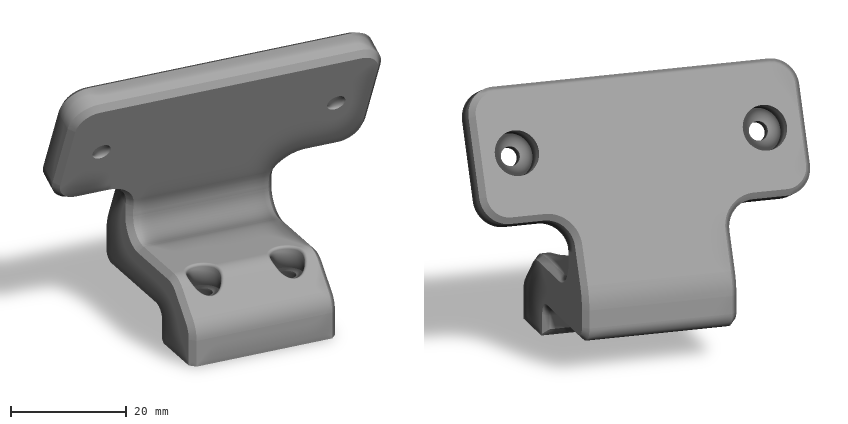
import cadquery as cq
import math

base_length = 34.5
base_width = 28.0
base_bottom = 5.5
base_top = 14.0
foot_start = 22.0
heel_thickness = 9.5
toe_slope = 7.0

arm_lean = 25
arm_length = 38.35
arm_thickness = 6

plate_width = 60
plate_height = 24
plate_radius = 5.0

edge_chamfer = 1.0
foot_chamfer = 1.5
toe_radius = 5.0
heel_radius = 3
foot_inner_radius = 1.5
outer_bend_radius = 10.0
inner_bend_radius = 6
inside_corner_radius = 4.0

bore_depth = 4.0
base_hole_x = 27
base_hole_spacing = 16.0
base_hole_diameter = 3.2
base_bore_diameter = 6
base_bore_rim_radius = 0.5
plate_hole_spacing = 45
plate_hole_diameter = 3.4
plate_bore_diameter = 8.0

lean_sin = math.sin(math.radians(arm_lean))
lean_cos = math.cos(math.radians(arm_lean))
lean_tan = lean_sin / lean_cos
plate_start = arm_length - plate_height
selection_margin = 0.05

arm_plane = cq.Plane(
    origin=(0, 0, base_top),
    xDir=(0, -1, 0),
    normal=(-lean_cos, 0, lean_sin),
)


def arm_point(along, depth):
    """X and Z of a point at a distance up the arm and a depth below its outer face."""
    return (
        along * lean_sin + depth * lean_cos,
        base_top + along * lean_cos - depth * lean_sin,
    )


def side_profile():
    """Foot, base and leaning arm, as wide as the plate, with all bends rounded."""
    inner_bend_z = base_top + (heel_thickness - arm_thickness / lean_cos) / lean_tan
    heel = (0, base_bottom)
    foot_inside = (foot_start, base_bottom)
    toe_lower = (base_length, base_top - toe_slope)
    toe_upper = (base_length - toe_slope, base_top)
    inside_corner = (heel_thickness, base_top)
    inner_bend = (heel_thickness, inner_bend_z)
    outer_bend = (0, base_top)
    outline = [
        heel,
        foot_inside,
        (foot_start, 0),
        (base_length, 0),
        toe_lower,
        toe_upper,
        inside_corner,
        inner_bend,
        arm_point(arm_length, arm_thickness),
        arm_point(arm_length, 0),
        outer_bend,
    ]
    rounded_corners = [
        (heel, heel_radius),
        (foot_inside, foot_inner_radius),
        (toe_lower, toe_radius),
        (toe_upper, toe_radius),
        (inside_corner, inside_corner_radius),
        (inner_bend, inner_bend_radius),
        (outer_bend, outer_bend_radius),
    ]
    body = cq.Workplane("XZ").polyline(outline).close().extrude(plate_width / 2, both=True)
    for (x, z), radius in rounded_corners:
        body = body.edges(cq.selectors.NearestToPointSelector((x, 0, z))).fillet(radius)
    return body


def width_limits():
    """The base's width everywhere, widened to the rounded plate near the arm."""
    reach = 2 * plate_width
    arm_zone_depth = 1.5 * arm_thickness
    base_slab = cq.Workplane("XY").box(reach, base_width, reach)
    plate_outline = (
        cq.Workplane(arm_plane)
        .rect(base_width, 2 * plate_start)
        .extrude(-arm_zone_depth)
        .union(
            cq.Workplane(arm_plane)
            .center(0, plate_start + plate_height / 2)
            .rect(plate_width, plate_height)
            .extrude(-arm_zone_depth)
        )
    )
    corners = [
        (side * half_width, along)
        for side in (-1, 1)
        for half_width, along in (
            (plate_width / 2, arm_length),
            (plate_width / 2, plate_start),
            (base_width / 2, plate_start),
        )
    ]
    for y, along in corners:
        x, z = arm_point(along, arm_zone_depth / 2)
        corner_edge = cq.selectors.NearestToPointSelector((x, y, z))
        plate_outline = plate_outline.edges(corner_edge).fillet(plate_radius)
    return base_slab.union(plate_outline)


def is_outline_edge(edge):
    """True for the rims of the plate and the side edges of the base, except under the foot."""
    middle = edge.positionAt(0.5)
    on_side = abs(middle.y) > base_width / 2 - selection_margin
    at_tip = arm_plane.toLocalCoords(middle).y > arm_length - selection_margin
    under_foot = middle.z < selection_margin
    along_normal = edge.tangentAt(0.5).cross(arm_plane.zDir).Length < selection_margin
    return (on_side or at_tip) and not under_foot and not along_normal


def cut_plate_holes(body):
    """Two counterbored holes through the plate, entered from the arm's outer face."""
    hole_centres = [(side * plate_hole_spacing / 2, 0) for side in (-1, 1)]
    return (
        body.copyWorkplane(cq.Workplane(arm_plane))
        .center(0, plate_start + plate_height / 2)
        .pushPoints(hole_centres)
        .cboreHole(plate_hole_diameter, plate_bore_diameter, bore_depth, 2 * arm_thickness)
    )


def is_bore_wall(face):
    """True for the walls of the base's counterbores."""
    box = face.BoundingBox()
    return (
        abs(box.xlen - base_bore_diameter) < selection_margin
        and abs(box.ylen - base_bore_diameter) < selection_margin
    )


def is_bore_rim(edge, floor_z):
    """True for a counterbore edge on the base's upper surface: not the floor or the seam."""
    upright = abs(edge.tangentAt(0.5).z) > 0.6 - selection_margin
    return edge.Center().z > floor_z + selection_margin and not upright


def cut_base_holes(body):
    """Two vertical counterbored holes through the foot, with rounded bore rims."""
    floor_z = base_top - bore_depth
    hole_centres = [(base_hole_x, side * base_hole_spacing / 2) for side in (-1, 1)]
    bores = (
        cq.Workplane("XY", origin=(0, 0, floor_z))
        .pushPoints(hole_centres)
        .circle(base_bore_diameter / 2)
        .extrude(2 * bore_depth)
    )
    holes = (
        cq.Workplane("XY")
        .pushPoints(hole_centres)
        .circle(base_hole_diameter / 2)
        .extrude(base_top)
    )
    body = body.cut(bores)
    bore_walls = body.faces("%CYLINDER").filter(is_bore_wall)
    rims = bore_walls.edges().filter(lambda edge: is_bore_rim(edge, floor_z))
    return rims.fillet(base_bore_rim_radius).cut(holes)


bracket = side_profile().intersect(width_limits()).clean()
bracket = bracket.edges().filter(is_outline_edge).chamfer(edge_chamfer)
foot_edge = cq.selectors.NearestToPointSelector((foot_start, 0, 0))
bracket = bracket.edges(foot_edge).chamfer(foot_chamfer)
bracket = cut_plate_holes(bracket)
result = cut_base_holes(bracket)